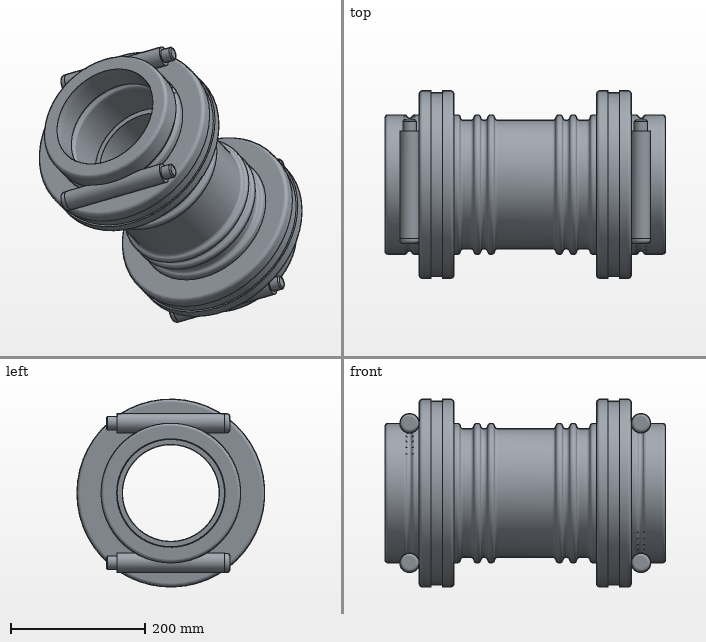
import cadquery as cq
import math

NOMINAL = 160.0
LENGTH = 418.0
END_X = LENGTH / 2

SLEEVE_RADIUS = 1.3 * NOMINAL / 2
TUBE_RADIUS = 1.2 * NOMINAL / 2
THROAT_RADIUS = 0.9 * NOMINAL / 2
SOCKET_RADIUS = NOMINAL / 2
MOUTH_RADIUS = 1.01 * SOCKET_RADIUS
FLANGE_RADIUS = 1.75 * NOMINAL / 2
FLANGE_BAND_RADIUS = 0.98 * FLANGE_RADIUS
SLEEVE_FILLET = 0.03 * NOMINAL

FLANGE_INNER_X = 106.3
FLANGE_OUTER_X = 158.0
BAND_INNER_X = 123.2
BAND_OUTER_X = 140.2
FLANGE_FILLET = 5.3

BOLT_RADIUS = 0.18 * NOMINAL / 2
BOLT_TIP_RADIUS = 0.7 * BOLT_RADIUS
BOLT_HEAD_RADIUS = 14.3
BOLT_X = FLANGE_OUTER_X + BOLT_RADIUS
BOLT_Z = SLEEVE_RADIUS
BOLT_SHANK_HALF = NOMINAL / 2
BOLT_TIP_LENGTH = 0.1 * NOMINAL
BOLT_HEAD_LENGTH = 0.05 * NOMINAL
BOLT_HEAD_FILLET = 0.03 * NOMINAL
BOLT_TIP_CHAMFER = 0.2 * BOLT_TIP_RADIUS

WAVE_WIDTH = 9.2
RIDGE_CREST = 1.0
RIDGE_XS = (50.8, 71.4)
SHOULDER_X = 101.3

SLEEVE_GROOVE_HALF_WIDTH = 7.9
SLEEVE_GROOVE_DEPTH = 4.9
SOCKET_GROOVE_X = END_X - 0.32 * NOMINAL
SOCKET_GROOVE_HALF_WIDTH = 8.4
SOCKET_GROOVE_DEPTH = 6.5
MOUTH_DEPTH = 0.07 * NOMINAL
SOCKET_DEPTH = 0.75 * NOMINAL


def wave_angle(width, height):
    """Turning angle of each of the two equal tangent arcs that make a wave of this size."""
    return 2 * math.atan2(abs(height), abs(width))


def arc_midpoint(tangent_point, inflection, angle):
    """Middle of an arc that leaves tangent_point parallel to X and turns through angle."""
    along = math.sin(angle / 2) / math.sin(angle)
    across = (1 - math.cos(angle / 2)) / (1 - math.cos(angle))
    return (
        tangent_point[0] + along * (inflection[0] - tangent_point[0]),
        tangent_point[1] + across * (inflection[1] - tangent_point[1]),
    )


def wave_to(profile, start, end):
    """Join two (x, radius) points by two equal tangent arcs that begin and end parallel to X."""
    angle = wave_angle(end[0] - start[0], end[1] - start[1])
    inflection = ((start[0] + end[0]) / 2, (start[1] + end[1]) / 2)
    first = arc_midpoint(start, inflection, angle)
    last = arc_midpoint(end, inflection, angle)
    return profile.threePointArc(first, inflection).threePointArc(last, end)


def revolve_about_x(profile):
    """Close an (x, radius) profile and turn it about the pipe axis."""
    return profile.close().revolve(360, (0, 0, 0), (1, 0, 0))


def cylinder(x_start, x_end, radius):
    """Round bar along the pipe axis."""
    return cq.Workplane("YZ", origin=(x_start, 0, 0)).circle(radius).extrude(x_end - x_start)


def make_ridge(x):
    """Rounded ridge standing on the tube."""
    left_foot = (x - RIDGE_CREST / 2 - WAVE_WIDTH, TUBE_RADIUS)
    left_crest = (x - RIDGE_CREST / 2, SLEEVE_RADIUS)
    right_crest = (x + RIDGE_CREST / 2, SLEEVE_RADIUS)
    right_foot = (x + RIDGE_CREST / 2 + WAVE_WIDTH, TUBE_RADIUS)
    profile = cq.Workplane("XY").moveTo(left_foot[0], SOCKET_RADIUS).lineTo(*left_foot)
    profile = wave_to(profile, left_foot, left_crest).lineTo(*right_crest)
    profile = wave_to(profile, right_crest, right_foot).lineTo(right_foot[0], SOCKET_RADIUS)
    return revolve_about_x(profile)


def make_groove_cutter(x, half_width, radius, bottom_radius):
    """Ring that cuts a round-bottomed groove with rounded lips from a cylindrical surface."""
    angle = wave_angle(half_width, bottom_radius - radius)
    inflection_radius = (radius + bottom_radius) / 2
    left_lip = (x - half_width, radius)
    right_lip = (x + half_width, radius)
    left_inflection = (x - half_width / 2, inflection_radius)
    right_inflection = (x + half_width / 2, inflection_radius)
    profile = (
        cq.Workplane("XY")
        .moveTo(*left_lip)
        .threePointArc(arc_midpoint(left_lip, left_inflection, angle), left_inflection)
        .threePointArc((x, bottom_radius), right_inflection)
        .threePointArc(arc_midpoint(right_lip, right_inflection, angle), right_lip)
    )
    return revolve_about_x(profile)


def make_sleeve():
    """End sleeve that passes through the flange and falls to the tube in a rounded shoulder."""
    crest = (SHOULDER_X, SLEEVE_RADIUS)
    foot = (SHOULDER_X - WAVE_WIDTH, TUBE_RADIUS)
    profile = (
        cq.Workplane("XY")
        .moveTo(foot[0], 0)
        .lineTo(END_X, 0)
        .lineTo(END_X, SLEEVE_RADIUS)
        .lineTo(*crest)
    )
    sleeve = revolve_about_x(wave_to(profile, crest, foot))
    sleeve = sleeve.faces(">X").edges().fillet(SLEEVE_FILLET)
    groove = make_groove_cutter(
        BOLT_X, SLEEVE_GROOVE_HALF_WIDTH, SLEEVE_RADIUS, SLEEVE_RADIUS - SLEEVE_GROOVE_DEPTH
    )
    return sleeve.cut(groove)


def make_flange():
    """Flange of two rounded discs with a slightly smaller band between them."""
    flange = cylinder(FLANGE_INNER_X, FLANGE_OUTER_X, FLANGE_RADIUS)
    flange = flange.faces("<X or >X").edges().fillet(FLANGE_FILLET)
    band_gap = cylinder(BAND_INNER_X, BAND_OUTER_X, FLANGE_RADIUS)
    band = cylinder(BAND_INNER_X, BAND_OUTER_X, FLANGE_BAND_RADIUS)
    return flange.cut(band_gap).union(band)


def bolt_section(y_start, y_end, radius, x, z):
    """Length of bolt along Y, with its seam turned towards the pipe axis."""
    plane = cq.Plane(origin=(x, y_start, z), xDir=(0, 0, -z), normal=(0, 1, 0))
    return cq.Workplane(plane).circle(radius).extrude(y_end - y_start)


def make_bolt(x, z):
    """Bolt along Y: a shank with a rounded head on the -Y end and a thinner tip on the +Y end."""
    shank = bolt_section(-BOLT_SHANK_HALF, BOLT_SHANK_HALF, BOLT_RADIUS, x, z)
    head = bolt_section(-BOLT_SHANK_HALF - BOLT_HEAD_LENGTH, -BOLT_SHANK_HALF, BOLT_HEAD_RADIUS, x, z)
    head = head.faces("<Y").edges().fillet(BOLT_HEAD_FILLET)
    tip = bolt_section(BOLT_SHANK_HALF, BOLT_SHANK_HALF + BOLT_TIP_LENGTH, BOLT_TIP_RADIUS, x, z)
    tip = tip.faces(">Y").edges().chamfer(BOLT_TIP_CHAMFER)
    return shank.union(head).union(tip)


def make_socket_cutter():
    """Socket bore with a slightly conical mouth and a rounded seal groove."""
    socket = revolve_about_x(
        cq.Workplane("XY")
        .moveTo(END_X - SOCKET_DEPTH, 0)
        .lineTo(END_X - SOCKET_DEPTH, SOCKET_RADIUS)
        .lineTo(END_X - MOUTH_DEPTH, SOCKET_RADIUS)
        .lineTo(END_X, MOUTH_RADIUS)
        .lineTo(END_X, 0)
    )
    groove = make_groove_cutter(
        SOCKET_GROOVE_X, SOCKET_GROOVE_HALF_WIDTH, SOCKET_RADIUS, SOCKET_RADIUS + SOCKET_GROOVE_DEPTH
    )
    return socket.union(groove)


def make_half():
    """The +X half of the coupling, from the middle plane outwards."""
    half = cylinder(0, SHOULDER_X, TUBE_RADIUS)
    for x in RIDGE_XS:
        half = half.union(make_ridge(x))
    half = half.union(make_sleeve()).union(make_flange())
    half = half.cut(cylinder(0, END_X, THROAT_RADIUS)).cut(make_socket_cutter())
    return half


def make_coupling():
    """Two mirrored halves, with a pair of bolts beside each flange."""
    half = make_half()
    coupling = half.union(half.mirror("YZ")).clean()
    for x in (-BOLT_X, BOLT_X):
        for z in (-BOLT_Z, BOLT_Z):
            coupling = coupling.union(make_bolt(x, z))
    return coupling


result = make_coupling()